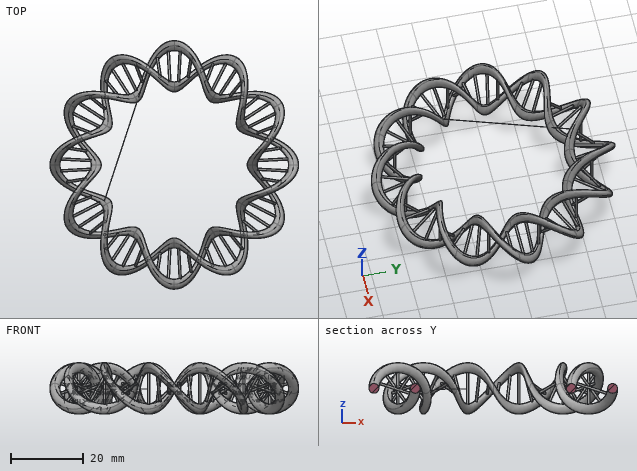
import cadquery as cq
import math

outer_diameter = 68.8
ring_height = 14.25
strand_diameter = 2.8
rung_diameter = 0.7
stay_diameter = 0.1

turns_per_lap = 6
rungs_per_sector = 5
sections_per_sector = 10

helix_radius = (ring_height - strand_diameter) / 2
ring_radius = (outer_diameter - ring_height) / 2
sector_count = 2 * turns_per_lap
sector_angle = 360 / sector_count

stay_start = cq.Vector(-7.35, 26.35, -0.15)
stay_end = cq.Vector(-19.75, -11.2, -0.3)


def strand_point(ring_angle, phase):
    """Centre of a strand at an angle around the ring; phase 0 or 180 picks the strand."""
    twist = math.radians(phase - turns_per_lap * ring_angle)
    turn = math.radians(ring_angle)
    distance = ring_radius + helix_radius * math.cos(twist)
    return cq.Vector(
        distance * math.cos(turn),
        distance * math.sin(turn),
        helix_radius * math.sin(twist),
    )


def strand_section(ring_angle, phase):
    """Circle lying in the upright plane through the ring axis."""
    turn = math.radians(ring_angle)
    around_ring = cq.Vector(-math.sin(turn), math.cos(turn), 0)
    return cq.Wire.makeCircle(strand_diameter / 2, strand_point(ring_angle, phase), around_ring)


def strand_piece(phase):
    """One strand across one sector."""
    step = sector_angle / sections_per_sector
    sections = [strand_section(i * step, phase) for i in range(sections_per_sector + 1)]
    return cq.Solid.makeLoft(sections)


def rod(start, end, diameter):
    """Round bar between two points."""
    axis = end - start
    return cq.Solid.makeCylinder(diameter / 2, axis.Length, start, axis)


def rung(ring_angle):
    """Rod joining the centres of the two strands."""
    return rod(strand_point(ring_angle, 0), strand_point(ring_angle, 180), rung_diameter)


def sector():
    """Both strands and their rungs across half a twist."""
    spacing = sector_angle / rungs_per_sector
    rungs = [rung((i + 0.5) * spacing) for i in range(rungs_per_sector)]
    return strand_piece(0).fuse(strand_piece(180), *rungs)


ring_sector = sector()
sectors = [
    ring_sector.rotate(cq.Vector(0, 0, 0), cq.Vector(0, 0, 1), i * sector_angle)
    for i in range(sector_count)
]
stay = rod(stay_start, stay_end, stay_diameter)

helix_ring = sectors[0].fuse(*sectors[1:], stay)
result = cq.Workplane("XY").newObject(helix_ring.Solids())